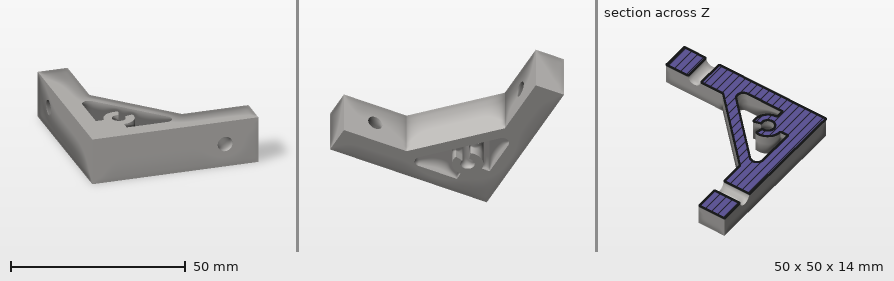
import cadquery as cq
import math

leg_length = 50.0
height = 14.0
arm_width = 9.0
brace_reach = 30.0
brace_thickness = 3.5
pocket_wall = 5.0
pocket_tip_radius = 2.0
clip_offset = 12.0
clip_outer_radius = 4.5
clip_bore_radius = 2.05
clip_gap_angle = 60.0
brace_direction = 45.0
screw_diameter = 4.5
screw_end_distance = 10.0

half_leg = leg_length / 2
half_height = height / 2
corner_x = half_leg
corner_y = -half_leg
clip_x = corner_x - clip_offset
clip_y = corner_y + clip_offset
brace_inner_sum = arm_width + brace_reach - brace_thickness * math.sqrt(2)
pocket_reach = brace_inner_sum - pocket_wall


def from_corner(points):
    """Turn (distance inward along -X, distance inward along +Y) into X, Y."""
    return [(corner_x - inward_x, corner_y + inward_y) for inward_x, inward_y in points]


def bottom_plane():
    """Workplane on the underside of the bracket."""
    return cq.Workplane("XY").workplane(offset=-half_height)


def prism(points):
    """Full-height prism over a polygon given by distances from the outer corner."""
    outline = bottom_plane().polyline(from_corner(points)).close()
    return outline.extrude(height)


def clip_cylinder(radius):
    """Full-height cylinder on the clip axis."""
    return bottom_plane().center(clip_x, clip_y).circle(radius).extrude(height)


def make_frame():
    """Two square arms joined by a diagonal brace."""
    return prism([
        (0, 0),
        (leg_length, 0),
        (leg_length, arm_width),
        (brace_reach, arm_width),
        (arm_width, brace_reach),
        (arm_width, leg_length),
        (0, leg_length),
    ])


def make_pocket():
    """Triangular through pocket with rounded tips, leaving a square corner block."""
    triangle = prism([
        (pocket_wall, pocket_wall),
        (pocket_reach, pocket_wall),
        (pocket_wall, pocket_reach),
    ])
    tips = triangle.edges("|Z").edges("<X or >Y")
    corner_block = prism([
        (0, 0),
        (clip_offset, 0),
        (clip_offset, clip_offset),
        (0, clip_offset),
    ])
    return tips.fillet(pocket_tip_radius).cut(corner_block)


def make_clip_gap():
    """Wedge with its apex on the clip axis, opening toward the brace."""
    wedge_length = 2 * clip_outer_radius
    edge_angles = [math.radians(brace_direction + side * clip_gap_angle / 2) for side in (-1, 1)]
    edge_ends = [
        (clip_offset + wedge_length * math.cos(angle), clip_offset + wedge_length * math.sin(angle))
        for angle in edge_angles
    ]
    return prism([(clip_offset, clip_offset)] + edge_ends)


def make_screw_hole(plane):
    """Screw hole across one arm, near its free end."""
    if plane == "XZ":
        along = -half_leg + screw_end_distance
    else:
        along = half_leg - screw_end_distance
    return (
        cq.Workplane(plane)
        .center(along, 0)
        .circle(screw_diameter / 2)
        .extrude(half_leg, both=True)
    )


clip = clip_cylinder(clip_outer_radius).cut(make_clip_gap())

result = make_frame().cut(make_pocket()).union(clip).cut(clip_cylinder(clip_bore_radius))
for hole_plane in ("XZ", "YZ"):
    result = result.cut(make_screw_hole(hole_plane))